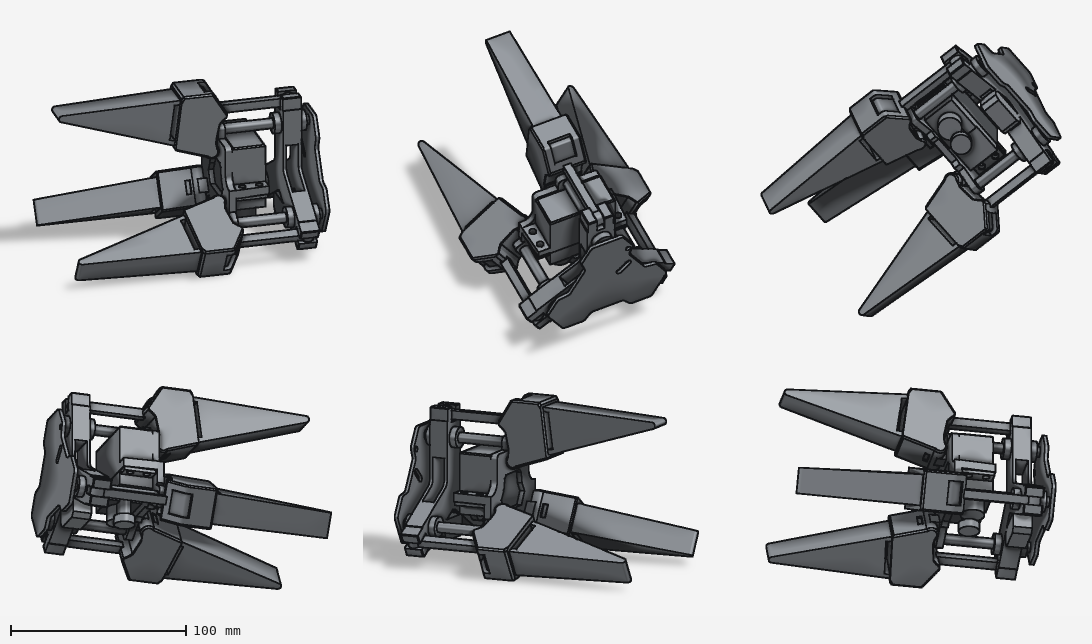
import cadquery as cq
import math

ARM_TURNS = [0, 120, -120]

ROD_DIA = 6.0
ROD_RADIUS = 31.5
PLATE_THICK = 2.2
PALM_REAR = 53.0
PALM_THICK = 4.1
PALM_FRONT = PALM_REAR + PALM_THICK

PLATE_INRADIUS = 27.3
PLATE_TIP_RADIUS = 37.7
NOTCH_MOUTH_HALF = 14.6
NOTCH_FLOOR_HALF = 10.0
NOTCH_FLOOR_RADIUS = 21.6
NOTCH_FILLET = 3.0
PLATE_HOLE_DIA = 3.0
PLATE_HOLE_AT = (-13.2, 25.2)
PLATE_SLOT_WIDTH = 3.5
PLATE_SLOT_LENGTH = 11.0
PLATE_SLOT_RADIUS = 14.0
PLATE_SLOT_ANGLE = 138.0

PALM_HALF_WIDTH = 20.5
PALM_TOP = 28.0
PALM_CORNER = 2.8
PALM_BOTTOM = -14.9
LUG_HALF_WIDTH = 29.0
LUG_REAR_HALF_WIDTH = 27.8
LUG_TOP = 5.1
SHOULDER_RADIUS = 7.5
PALM_SIDE_BOTTOM = -8.0
BOTTOM_HALF_WIDTH = 8.0
BOTTOM_CHAMFER = (2.9, 2.3)
PALM_ARM_END = 35.6
PALM_ARM_WIDTH = 12.0
PALM_ARM_FILLET = 3.0
TAB_WIDTH = 8.0
TAB_LENGTH = 5.6
TAB_LOW = 18.5
TAB_HIGH = 28.0
POCKET_DEPTH = 3.0

SERVO_REAR = 33.2
SERVO_DEPTH = PALM_REAR - SERVO_REAR
SERVO_CENTRE = SERVO_REAR + SERVO_DEPTH / 2
HOUSING_TOP = 27.5
SERVO_LOW = -8.5
HOUSING_CHAMFER = 0.8
EAR_THICK = 2.1
EAR_LENGTH = 55.0
EAR_DEPTH = 18.8
EAR_HOLE_DIA = 4.0
EAR_HOLE_SPACING = (49.0, 10.0)
COVER_STEP = 2.2
COVER_STEP_START = -1.5
GEAR_BOSS_X = 10.0
GEAR_BOSS_DIA = 13.7
SMALL_BOSS_X = -1.5
SMALL_BOSS_DIA = 6.6
BOSS_LOW = -19.6
HORN_DIA = 12.0
HORN_THICK = 5.0

CARRIER_REAR = 8.5
CARRIER_THICK = 11.0
CARRIER_CENTRE = CARRIER_REAR + CARRIER_THICK / 2
ARM_WIDTH = 17.2
ARM_END = 42.0
HUB_FILLET = 5.0
FORK_WIDTH = 16.0
FORK_END = 49.5
FORK_CHAMFER = 0.5
FORK_SLOT = 4.8
FORK_SLOT_FLOOR = 40.5
WINDOW_HEIGHT = 7.2
WINDOW_END = 20.4
WINDOW_SIDE_REACH = 1.5
BLOCK_HALF_WIDTH = 10.9
BLOCK_TOP = -15.0
BLOCK_LOW = -27.4
BLOCK_CHAMFER = 2.8
COLLAR_DIA = 12.0
COLLAR_LENGTH = 19.0

LINK_RADIUS = 44.7
LINK_HEIGHT = 5.0
LINK_EYE_DIA = 8.0
LINK_EYE_DEPTH = 13.5
LINK_END = 56.0

FINGER_HALF_WIDTH = 11.8
FINGER_CHAMFER = 1.0
REAR_CHAMFER = 0.4
FINGER_OUTER = 58.75
FINGER_END = 151.61
TIP_LEFT = -8.9
TIP_RIGHT_ROOT = 8.9
TIP_RIGHT_END = 5.9
TIP_LOW_DEPTH = 85.0
TIP_OVERLAP = 0.3
NOSE_RADIUS = 2.0
NOSE_HEIGHT = 51.1
TIP_OUTER_LEAN = 2.25
TIP_INNER_LEAN = 17.7
TIP_ROOT = 80.0
BACK_SLOPE_START = (53.4, 45.8)
BACK_SLOPE_END = (61.4, FINGER_OUTER)
KNUCKLE_LIP = (84.0, 26.9)
CREST_FILLET = 3.0
CHAMFER_LIMIT = 81.0
BARREL_DEPTH = 62.3
BARREL_RADIUS = 4.3
BARREL_HEIGHT = 22.8
RECESS_WIDTH = 13.8
RECESS_START = 56.0
RECESS_END = 65.6
RECESS_DEPTH = 2.6
RECESS_FILLET = 2.0
INNER_RECESS = (66.7, 69.3)
INNER_RECESS_FLOOR = 21.7


def slab(outline, depth, thick):
    """Extrude a closed X-Z outline over a range of depths."""
    return outline.extrude(thick).translate((0, -depth, 0))


def front_plane():
    """Sketch plane with local axes X and Z, extruding towards -Y."""
    return cq.Workplane("XZ")


def cylinder_along_y(dia, x, z, depth, length):
    return slab(front_plane().center(x, z).circle(dia / 2), depth, length)


def block(x_range, depth_range, z_range):
    size = [x_range[1] - x_range[0], depth_range[1] - depth_range[0], z_range[1] - z_range[0]]
    corner = (x_range[0], -depth_range[1], z_range[0])
    return cq.Workplane("XY").box(*size, centered=False).translate(corner)


def turned(shape, angle):
    """Turn a shape about the grip axis, clockwise when looking towards +Y."""
    return shape.rotate((0, 0, 0), (0, 1, 0), angle)


def turned_point(x, z, angle):
    a = math.radians(angle)
    return (x * math.cos(a) + z * math.sin(a), z * math.cos(a) - x * math.sin(a))


def base_plate():
    tip_half = (2 * PLATE_INRADIUS - PLATE_TIP_RADIUS) * math.tan(math.radians(30))
    outline = []
    for angle in [0, 120, 240]:
        outline += [turned_point(x, PLATE_TIP_RADIUS, angle) for x in (-tip_half, tip_half)]
        for x, radius in [
            (NOTCH_MOUTH_HALF, PLATE_INRADIUS),
            (NOTCH_FLOOR_HALF, NOTCH_FLOOR_RADIUS),
            (-NOTCH_FLOOR_HALF, NOTCH_FLOOR_RADIUS),
            (-NOTCH_MOUTH_HALF, PLATE_INRADIUS),
        ]:
            outline.append(turned_point(-x, radius, angle + 60))
    plate = slab(front_plane().polyline(outline).close(), 0, PLATE_THICK)
    plate = plate.edges("|Y").fillet(NOTCH_FILLET)
    plate = plate.cut(cylinder_along_y(PLATE_HOLE_DIA, *PLATE_HOLE_AT, 0, PLATE_THICK))
    slot = front_plane().center(PLATE_SLOT_RADIUS, 0).slot2D(PLATE_SLOT_LENGTH, PLATE_SLOT_WIDTH)
    return plate.cut(turned(slab(slot, 0, PLATE_THICK), -PLATE_SLOT_ANGLE))


def palm_plate():
    diag = SHOULDER_RADIUS * (1 - math.sqrt(0.5))
    arc_x = PALM_HALF_WIDTH + SHOULDER_RADIUS
    arc_z = LUG_TOP + SHOULDER_RADIUS
    foot_half = BOTTOM_HALF_WIDTH + BOTTOM_CHAMFER[0]
    core = (
        front_plane()
        .moveTo(PALM_HALF_WIDTH, PALM_TOP)
        .lineTo(PALM_HALF_WIDTH, arc_z)
        .threePointArc((PALM_HALF_WIDTH + diag, LUG_TOP + diag), (arc_x, LUG_TOP))
        .lineTo(LUG_HALF_WIDTH, LUG_TOP)
        .lineTo(LUG_HALF_WIDTH, PALM_SIDE_BOTTOM)
        .lineTo(foot_half, PALM_BOTTOM - BOTTOM_CHAMFER[1])
        .lineTo(BOTTOM_HALF_WIDTH, PALM_BOTTOM)
        .lineTo(-BOTTOM_HALF_WIDTH, PALM_BOTTOM)
        .lineTo(-foot_half, PALM_BOTTOM - BOTTOM_CHAMFER[1])
        .lineTo(-LUG_HALF_WIDTH, PALM_SIDE_BOTTOM)
        .lineTo(-LUG_HALF_WIDTH, LUG_TOP)
        .lineTo(-arc_x, LUG_TOP)
        .threePointArc((-PALM_HALF_WIDTH - diag, LUG_TOP + diag), (-PALM_HALF_WIDTH, arc_z))
        .lineTo(-PALM_HALF_WIDTH, PALM_TOP)
        .close()
    )
    plate = slab(core, PALM_REAR, PALM_THICK)
    plate = plate.edges("|Y").edges(">Z").fillet(PALM_CORNER)
    half = PALM_ARM_WIDTH / 2
    arm = block((-half, half), (PALM_REAR, PALM_FRONT), (0, PALM_ARM_END))
    arm = arm.edges("|Y").edges(">Z").fillet(PALM_ARM_FILLET)
    tab = block(
        (-TAB_WIDTH / 2, TAB_WIDTH / 2), (PALM_FRONT, PALM_FRONT + TAB_LENGTH), (TAB_LOW, TAB_HIGH)
    )
    for angle in ARM_TURNS:
        plate = plate.union(turned(arm, angle)).union(turned(tab, angle))
    return plate.cut(palm_pocket())


def palm_pocket():
    """Waisted pocket in the front of the palm plate."""
    right = [(11.0, -6.8), (15.0, 0.6), (11.8, 5.9), (10.6, 12.3), (8.6, 14.3)]
    left = [(-x, z) for x, z in reversed(right)]
    outline = front_plane().polyline(right + left).close()
    return slab(outline, PALM_FRONT - POCKET_DEPTH, POCKET_DEPTH)


def servo_lugs():
    """Two lugs behind the palm plate that carry the servo ears."""
    right = [
        (PALM_HALF_WIDTH, -SERVO_REAR),
        (LUG_REAR_HALF_WIDTH, -SERVO_REAR),
        (LUG_HALF_WIDTH, -PALM_REAR),
        (PALM_HALF_WIDTH, -PALM_REAR),
    ]
    lug = cq.Workplane("XY").polyline(right).close().extrude(LUG_TOP)
    return lug.union(lug.mirror("YZ")).cut(ear_holes(0, LUG_TOP))


def ear_holes(low, high):
    return (
        cq.Workplane("XY")
        .workplane(offset=low)
        .center(0, -SERVO_CENTRE)
        .rarray(*EAR_HOLE_SPACING, 2, 2)
        .circle(EAR_HOLE_DIA / 2)
        .extrude(high - low)
    )


def motor_housing():
    """Chamfered box behind the palm plate, between the lugs."""
    half = PALM_HALF_WIDTH
    housing = block((-half, half), (SERVO_REAR, PALM_REAR), (0, HOUSING_TOP))
    return housing.faces(">Z").chamfer(HOUSING_CHAMFER)


def make_frame():
    frame = base_plate().union(palm_plate()).union(motor_housing()).union(servo_lugs())
    rod = cylinder_along_y(ROD_DIA, 0, ROD_RADIUS, 0, PALM_FRONT)
    for angle in ARM_TURNS:
        frame = frame.union(turned(rod, angle))
    return frame


def make_servo():
    """Lower part of the servo, its ears lying flat against the lugs and housing."""
    half = PALM_HALF_WIDTH
    depths = (SERVO_REAR, PALM_REAR)
    body = block((-half, half), depths, (SERVO_LOW, 0))
    ear_gap = (SERVO_DEPTH - EAR_DEPTH) / 2
    ears = block(
        (-EAR_LENGTH / 2, EAR_LENGTH / 2),
        (SERVO_REAR + ear_gap, PALM_REAR - ear_gap),
        (-EAR_THICK, 0),
    )
    body = body.union(ears.cut(ear_holes(-EAR_THICK, 0)))
    step = block((COVER_STEP_START, half), depths, (SERVO_LOW - COVER_STEP, SERVO_LOW))
    return body.union(step).union(gear_boss()).union(servo_horn())


def gear_boss():
    """Round output boss joined to a smaller boss by a flat-sided web."""
    top = cq.Workplane("XY").workplane(offset=BOSS_LOW).center(0, -SERVO_CENTRE)
    height = SERVO_LOW - BOSS_LOW
    large = top.center(GEAR_BOSS_X, 0).circle(GEAR_BOSS_DIA / 2).extrude(height)
    small = top.center(SMALL_BOSS_X, 0).circle(SMALL_BOSS_DIA / 2).extrude(height)
    half = SMALL_BOSS_DIA / 2
    web = block(
        (SMALL_BOSS_X, GEAR_BOSS_X), (SERVO_CENTRE - half, SERVO_CENTRE + half), (BOSS_LOW, SERVO_LOW)
    )
    return large.union(small).union(web)


def servo_horn():
    base = cq.Workplane("XY").workplane(offset=BOSS_LOW - HORN_THICK)
    return base.center(0, -SERVO_CENTRE).circle(HORN_DIA / 2).extrude(HORN_THICK)


def carrier_hub():
    half = ARM_WIDTH / 2
    inner_corner = half / math.cos(math.radians(30))
    outline = []
    for angle in [0, 120, 240]:
        outline += [turned_point(x, ARM_END, angle) for x in (-half, half)]
        outline.append(turned_point(0, inner_corner, angle + 60))
    hub = slab(front_plane().polyline(outline).close(), CARRIER_REAR, CARRIER_THICK)
    for angle in [60, 180, 300]:
        x, z = turned_point(0, inner_corner, angle)
        edge = cq.selectors.NearestToPointSelector((x, -CARRIER_CENTRE, z))
        hub = hub.edges("|Y").edges(edge).fillet(HUB_FILLET)
    window_depths = (CARRIER_CENTRE - WINDOW_HEIGHT / 2, CARRIER_CENTRE + WINDOW_HEIGHT / 2)
    reach = half + WINDOW_SIDE_REACH
    window = block((-reach, reach), window_depths, (-half, WINDOW_END))
    for angle in ARM_TURNS:
        hub = hub.cut(turned(window, angle))
    return hub


def carrier_fork():
    """Forked end of the upper carrier arm."""
    half = FORK_WIDTH / 2
    depths = (CARRIER_REAR, CARRIER_REAR + CARRIER_THICK)
    fork = block((-half, half), depths, (ARM_END, FORK_END))
    return fork.edges(">Z").chamfer(FORK_CHAMFER)


def fork_slot():
    half = FORK_SLOT / 2
    depths = (CARRIER_REAR, CARRIER_REAR + CARRIER_THICK)
    return block((-half, half), depths, (FORK_SLOT_FLOOR, FORK_END))


def carrier_block():
    """Chamfered block between the two lower arms."""
    depths = (CARRIER_REAR, CARRIER_REAR + CARRIER_THICK)
    foot = block((-BLOCK_HALF_WIDTH, BLOCK_HALF_WIDTH), depths, (BLOCK_LOW, BLOCK_TOP))
    return foot.edges("|Y").edges("<Z").chamfer(BLOCK_CHAMFER)


def link():
    """Bar with a round eye that ties the upper fork to its finger."""
    half = FORK_SLOT / 2
    low = LINK_RADIUS - LINK_HEIGHT / 2
    bar = block((-half, half), (LINK_EYE_DEPTH, LINK_END), (low, low + LINK_HEIGHT))
    eye = cq.Workplane("YZ").center(-LINK_EYE_DEPTH, LINK_RADIUS).circle(LINK_EYE_DIA / 2)
    return bar.union(eye.extrude(half, both=True))


def finger_knuckle():
    """Finger base with a round hinge barrel on its inner side."""
    profile = [
        (60.0, 27.5),
        (59.6, 30.7),
        (57.8, 39.4),
        (56.2, 41.2),
        (53.6, 43.3),
        BACK_SLOPE_START,
        BACK_SLOPE_END,
        (79.1, FINGER_OUTER),
        (80.2, 57.2),
        KNUCKLE_LIP,
        (83.4, 25.8),
        (64.5, 19.5),
        (59.5, 25.0),
    ]
    outline = cq.Workplane("YZ").polyline([(-depth, z) for depth, z in profile]).close()
    knuckle = outline.extrude(FINGER_HALF_WIDTH, both=True)
    reach = FINGER_HALF_WIDTH + FINGER_CHAMFER
    outer_edges = cq.selectors.BoxSelector(
        (-reach, -CHAMFER_LIMIT, BACK_SLOPE_START[1]), (reach, 0, FINGER_OUTER + FINGER_CHAMFER)
    )
    inner_edge = cq.selectors.BoxSelector(
        (-reach, -CHAMFER_LIMIT, 0), (reach, -BARREL_DEPTH, KNUCKLE_LIP[1])
    )
    knuckle = knuckle.faces("<X or >X").edges(outer_edges + inner_edge).chamfer(FINGER_CHAMFER)
    rear_edges = cq.selectors.BoxSelector(
        (-reach, -BARREL_DEPTH, TAB_HIGH), (reach, 0, LINK_RADIUS)
    )
    knuckle = knuckle.faces("<X or >X").edges(rear_edges).chamfer(REAR_CHAMFER)
    barrel = cq.Workplane("YZ").center(-BARREL_DEPTH, BARREL_HEIGHT).circle(BARREL_RADIUS)
    barrel = barrel.extrude(FINGER_HALF_WIDTH, both=True).edges("%CIRCLE").chamfer(FINGER_CHAMFER)
    knuckle = knuckle.union(barrel)
    crest = cq.selectors.NearestToPointSelector((0, -BACK_SLOPE_END[0], FINGER_OUTER))
    knuckle = knuckle.edges("|X").edges(crest).fillet(CREST_FILLET)
    half = TAB_WIDTH / 2
    tab_slot = block((-half, half), (PALM_REAR, PALM_FRONT + TAB_LENGTH), (0, TAB_HIGH))
    inner_recess = block((-half, half), INNER_RECESS, (0, INNER_RECESS_FLOOR))
    return knuckle.cut(outer_recess()).cut(tab_slot).cut(inner_recess)


def outer_recess():
    """Recess that follows the back slope over the crest of the knuckle."""
    run = BACK_SLOPE_END[0] - BACK_SLOPE_START[0]
    rise = BACK_SLOPE_END[1] - BACK_SLOPE_START[1]
    drop = RECESS_DEPTH * math.hypot(run, rise) / run
    start_z = BACK_SLOPE_START[1] + (RECESS_START - BACK_SLOPE_START[0]) * rise / run
    floor_z = FINGER_OUTER - RECESS_DEPTH
    corner_depth = RECESS_START + (floor_z - start_z + drop) * run / rise
    profile = [
        (RECESS_START, start_z),
        (RECESS_START, start_z - drop),
        (corner_depth, floor_z),
        (RECESS_END, floor_z),
        (RECESS_END, FINGER_OUTER),
        BACK_SLOPE_END,
    ]
    outline = cq.Workplane("YZ").polyline([(-depth, z) for depth, z in profile]).close()
    recess = outline.extrude(RECESS_WIDTH / 2, both=True)
    corner = cq.selectors.NearestToPointSelector((0, -corner_depth, floor_z))
    return recess.edges("|X").edges(corner).fillet(RECESS_FILLET)


def finger_tip():
    """Long wedge, tapered on one side, with a gap behind its root."""
    nose_depth = FINGER_END - NOSE_RADIUS
    outer = math.radians(TIP_OUTER_LEAN)
    inner = math.radians(TIP_INNER_LEAN)
    nose_top = (nose_depth + NOSE_RADIUS * math.sin(outer), NOSE_HEIGHT + NOSE_RADIUS * math.cos(outer))
    nose_low = (nose_depth + NOSE_RADIUS * math.sin(inner), NOSE_HEIGHT - NOSE_RADIUS * math.cos(inner))
    root_top = nose_top[1] + (nose_top[0] - TIP_ROOT) * math.tan(outer)
    root_low = nose_low[1] - (nose_low[0] - TIP_LOW_DEPTH) * math.tan(inner)
    wedge = [
        nose_low,
        (TIP_LOW_DEPTH, root_low),
        (KNUCKLE_LIP[0] - TIP_OVERLAP, root_low),
        (TIP_ROOT, root_top),
        nose_top,
    ]
    gap = [(80.7, 53.3), (83.9, 53.0), (86.7, 31.8), (83.5, 31.2)]
    side = cq.Workplane("YZ")
    outline = side.polyline([(-d, z) for d, z in wedge])
    outline = outline.threePointArc((-FINGER_END, NOSE_HEIGHT), (-nose_low[0], nose_low[1]))
    tip = outline.close().extrude(FINGER_HALF_WIDTH, both=True)
    cutter = side.polyline([(-d, z) for d, z in gap]).close()
    tip = tip.cut(cutter.extrude(FINGER_HALF_WIDTH, both=True))
    plan = [
        (TIP_LEFT, -TIP_ROOT),
        (TIP_RIGHT_ROOT, -TIP_ROOT),
        (TIP_RIGHT_END, -FINGER_END),
        (TIP_LEFT, -FINGER_END),
    ]
    return tip.intersect(cq.Workplane("XY").polyline(plan).close().extrude(FINGER_OUTER))


def make_carrier():
    collar_start = CARRIER_CENTRE - COLLAR_LENGTH / 2
    carrier = carrier_hub().union(carrier_block())
    collar = cylinder_along_y(COLLAR_DIA, 0, ROD_RADIUS, collar_start, COLLAR_LENGTH)
    rod_hole = cylinder_along_y(ROD_DIA, 0, ROD_RADIUS, collar_start, COLLAR_LENGTH)
    finger = finger_knuckle().union(finger_tip())
    for angle in ARM_TURNS:
        carrier = carrier.union(turned(carrier_fork(), angle)).union(turned(collar, angle))
        carrier = carrier.cut(turned(fork_slot(), angle)).cut(turned(rod_hole, angle))
        hand = finger.mirror("YZ") if angle > 0 else finger
        carrier = carrier.union(turned(link(), angle)).union(turned(hand, angle))
    return carrier


frame = make_frame()
servo = make_servo()
carrier = make_carrier()

result = cq.Compound.makeCompound([frame.val(), servo.val(), carrier.val()])